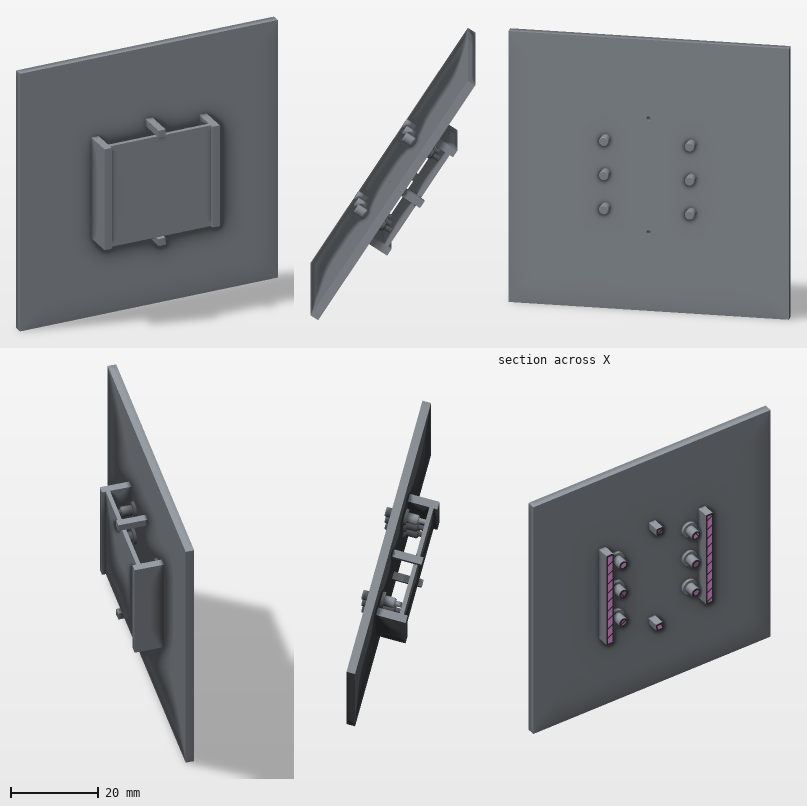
import cadquery as cq
PLATE_SIZE = 65.4
PLATE_THICKNESS = 2.0

BOARD_SIZE = 25.6
BOARD_THICKNESS = 1.0

FENCE_HEIGHT = 7.0
FENCE_THICKNESS = 1.8
FENCE_LENGTH = BOARD_SIZE

POST_WIDTH = 1.75
POST_OFFSET = 13.75
UPPER_POST_TURN = 0.0
LOWER_POST_TURN = 4.0
SCREW_HOLE_DIAMETER = 1.0

CONTACT_COLUMN_Y = 10.0
CONTACT_PITCH_Z = 8.25
STUB_DIAMETER = 2.2
STUB_LENGTH = 2.5
STUB_CHAMFER = 0.1
FLANGE_DIAMETER = 3.85
FLANGE_THICKNESS = 0.7
BARREL_DIAMETER = 2.4
BARREL_END = 3.4
BARREL_CHAMFER = 0.3
TIP_DIAMETER = 1.25
TIP_END = 4.9
TIP_GAP = 0.2

BOARD_X = PLATE_THICKNESS + TIP_END + TIP_GAP
CONTACT_PLACES = [
    (side * CONTACT_COLUMN_Y, row * CONTACT_PITCH_Z) for side in (-1, 1) for row in (-1, 0, 1)
]
UPPER_POST_PLACE = (0, POST_OFFSET)
LOWER_POST_PLACE = (0, -POST_OFFSET)


def block_along_x(start_x, length, width_y, width_z):
    """Block centred on the X axis that starts at start_x."""
    return cq.Workplane("YZ", origin=(start_x, 0, 0)).rect(width_y, width_z).extrude(length)


def rod_along_x(start_x, end_x, diameter):
    """Round rod on the X axis between two stations."""
    return cq.Workplane("YZ", origin=(start_x, 0, 0)).circle(diameter / 2).extrude(end_x - start_x)


def drill_plate(plate, places, diameter):
    """Through holes in the plate at the given (y, z) places."""
    drill = rod_along_x(0, PLATE_THICKNESS, diameter)
    for y, z in places:
        plate = plate.cut(drill.translate((0, y, z)))
    return plate


def make_plate():
    """Plate with its two fences, contact holes and screw holes."""
    plate = block_along_x(0, PLATE_THICKNESS, PLATE_SIZE, PLATE_SIZE)
    fence = block_along_x(PLATE_THICKNESS, FENCE_HEIGHT, FENCE_THICKNESS, FENCE_LENGTH)
    fence_y = (BOARD_SIZE + FENCE_THICKNESS) / 2
    for side in (-1, 1):
        plate = plate.union(fence.translate((0, side * fence_y, 0)))
    plate = drill_plate(plate, CONTACT_PLACES, STUB_DIAMETER)
    return drill_plate(plate, [UPPER_POST_PLACE, LOWER_POST_PLACE], SCREW_HOLE_DIAMETER)


def make_board():
    """Thin square board just in front of the contact tips."""
    return block_along_x(BOARD_X, BOARD_THICKNESS, BOARD_SIZE, BOARD_SIZE)


def make_post(place, turn):
    """Square post turned by some degrees about its own axis."""
    post = block_along_x(PLATE_THICKNESS, FENCE_HEIGHT, POST_WIDTH, POST_WIDTH)
    return post.rotate((0, 0, 0), (1, 0, 0), turn).translate((0, *place))


def make_contact(place):
    """Spring contact: stub through the plate, flange, chamfered barrel and tip."""
    flange_end_x = PLATE_THICKNESS + FLANGE_THICKNESS
    barrel_end_x = PLATE_THICKNESS + BARREL_END
    stub = rod_along_x(-STUB_LENGTH, PLATE_THICKNESS, STUB_DIAMETER)
    stub = stub.faces("<X").chamfer(STUB_CHAMFER)
    flange = rod_along_x(PLATE_THICKNESS, flange_end_x, FLANGE_DIAMETER)
    barrel = rod_along_x(PLATE_THICKNESS, barrel_end_x, BARREL_DIAMETER)
    barrel = barrel.faces(">X").chamfer(BARREL_CHAMFER)
    tip = rod_along_x(barrel_end_x, PLATE_THICKNESS + TIP_END, TIP_DIAMETER)
    return stub.union(flange).union(barrel).union(tip).translate((0, *place))


plate = make_plate()
board = make_board()
upper_post = make_post(UPPER_POST_PLACE, UPPER_POST_TURN)
lower_post = make_post(LOWER_POST_PLACE, LOWER_POST_TURN)
contacts = [make_contact(place) for place in CONTACT_PLACES]

result = cq.Compound.makeCompound(
    [plate.val(), board.val(), upper_post.val(), lower_post.val()]
    + [contact.val() for contact in contacts]
)